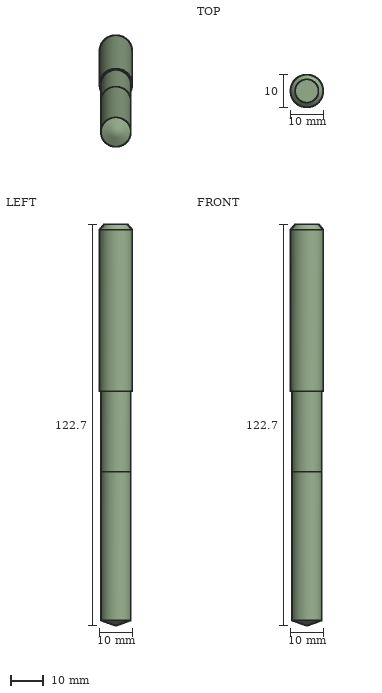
import cadquery as cq
import math

total_length = 122.7
shank_diameter = 10.0
drill_diameter = 9.2
point_angle = 140.0
cutting_length = 47.1
shank_start = 71.6
chamfer_height = 1.7
chamfer_width = 1.5

shank_radius = shank_diameter / 2
drill_radius = drill_diameter / 2
point_height = drill_radius / math.tan(math.radians(point_angle / 2))


def revolve_profile(points):
    """Revolve a closed (radius, height) outline about the Z axis."""
    return cq.Workplane("XZ").polyline(points).close().revolve(360, (0, 0), (0, 1))


def make_cutting_part():
    """Cylindrical cutting part ending in a conical point."""
    return revolve_profile([
        (0, 0),
        (drill_radius, point_height),
        (drill_radius, cutting_length),
        (0, cutting_length),
    ])


def make_shank():
    """Neck as wide as the cutting part, stepping out to a chamfered shank."""
    return revolve_profile([
        (0, cutting_length),
        (drill_radius, cutting_length),
        (drill_radius, shank_start),
        (shank_radius, shank_start),
        (shank_radius, total_length - chamfer_height),
        (shank_radius - chamfer_width, total_length),
        (0, total_length),
    ])


cutting_part = make_cutting_part()
shank = make_shank()

result = cq.Compound.makeCompound([cutting_part.val(), shank.val()])